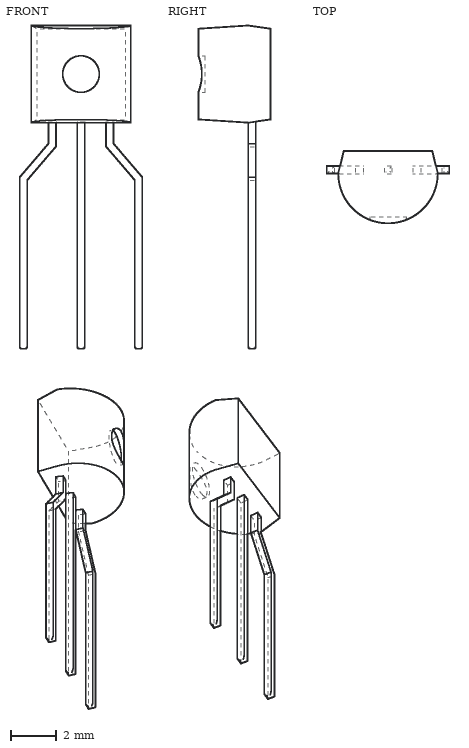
import cadquery as cq

total_height = 14.3
body_radius = 2.2
body_height = 4.3
back_depth = 1.0
back_width = 3.92
end_taper = 0.15

recess_diameter = 1.62
recess_depth = 0.29

lead_size = 0.35
tip_radius = 0.11
inner_pitch = 1.27
outer_pitch = 2.55
upper_bend_drop = 5.29
lower_bend_drop = 6.78
lead_embed = 0.43

body_bottom = total_height - body_height
body_middle = total_height - body_height / 2
lead_top = body_bottom + lead_embed


def make_body():
    plan = (
        cq.Workplane("XY")
        .workplane(offset=body_bottom)
        .moveTo(-body_radius, 0)
        .threePointArc((0, -body_radius), (body_radius, 0))
        .lineTo(back_width / 2, back_depth)
        .lineTo(-back_width / 2, back_depth)
        .close()
        .extrude(body_height)
    )
    side_profile = (
        cq.Workplane("YZ")
        .moveTo(-body_radius, body_bottom + end_taper)
        .lineTo(0, body_bottom)
        .lineTo(back_depth, body_bottom + end_taper)
        .lineTo(back_depth, total_height - end_taper)
        .lineTo(0, total_height)
        .lineTo(-body_radius, total_height - end_taper)
        .close()
        .extrude(body_radius, both=True)
    )
    return plan.intersect(side_profile)


def make_recess():
    return (
        cq.Workplane("XZ", origin=(0, -body_radius + recess_depth, body_middle))
        .circle(recess_diameter / 2)
        .extrude(recess_depth)
    )


def make_lead(centreline):
    """Sweep a square section down the centreline, with mitred bends and a rounded tip."""
    top_x, top_z = centreline[0]
    path = cq.Workplane("XZ", origin=(0, lead_size / 2, 0)).polyline(centreline)
    lead = (
        cq.Workplane("XY", origin=(top_x, lead_size / 2, top_z))
        .rect(lead_size, lead_size)
        .sweep(path, transition="right")
    )
    return lead.faces("<Z").edges().fillet(tip_radius)


result = make_body().cut(make_recess())
result = result.union(make_lead([(0, lead_top), (0, 0)]))
for side in (-1, 1):
    bent_centreline = [
        (side * inner_pitch, lead_top),
        (side * inner_pitch, total_height - upper_bend_drop),
        (side * outer_pitch, total_height - lower_bend_drop),
        (side * outer_pitch, 0),
    ]
    result = result.union(make_lead(bent_centreline))